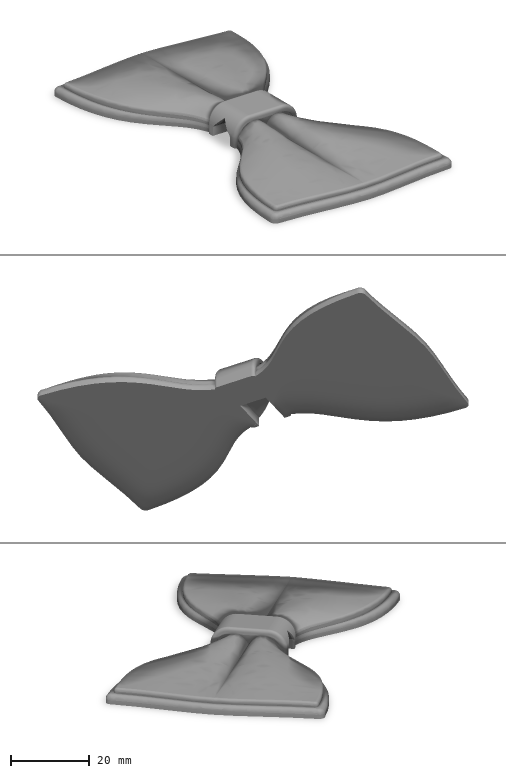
import cadquery as cq
import math

HALF_LENGTH = 50.0
BAND_TOP = 7.9

NECK_HANDLE_X = 18.6
CORNER_HANDLE_X = 14.3
END_MIDDLE_HANDLE_Y = 8.0
END_CORNER_HANDLE_Y = 18.5

BASE_HEIGHT = 2.4
BASE_EDGE_RADIUS = 1.3
BASE_NECK = 8.6
BASE_CORNER = (47.6, 28.5)
BASE_CORNER_RADIUS = 1.6

RIM = 1.9
NECK_RIM = 0.2
CUSHION_NECK = BASE_NECK - NECK_RIM
CUSHION_CORNER = (BASE_CORNER[0] - RIM, BASE_CORNER[1] - RIM)
CUSHION_CORNER_RADIUS = 1.0
CUSHION_EDGE_RADIUS = 0.8
CREASE_HEIGHT = 3.7
LOBE_SKEW = 0.8
LOBE_STATIONS = [
    (0.0, 8.4, 3.0, 2.6),
    (6.0, 9.2, 3.0, 2.7),
    (13.4, 14.0, 3.1, 2.7),
    (19.1, 18.7, 3.6, 2.5),
    (24.2, 21.8, 4.0, 2.2),
    (31.9, 24.7, 4.1, 1.6),
    (37.6, 26.2, 3.9, 1.0),
    (43.4, 26.6, 3.7, 0.3),
    (HALF_LENGTH, 26.6, 3.5, 0.0),
]
LOBE_STEPS = 10
OVERRUN_STEPS = 1
SURFACE_TOLERANCE = 0.02
ON_PLANE = 0.01

BAND_HALF_WIDTH = 5.9
BAND_HALF_DEPTH = 10.0
BAND_ARC_RADIUS = 4.9
BAND_EDGE_RADIUS = 0.9
BAND_THICKNESS = 1.6
BAND_RECESS = 0.4

NOTCH_HALF_WIDTH = 3.7
NOTCH_SHOULDER = 2.6
NOTCH_PEAK = 6.2
KEY_WIDTH = 2.4
KEY_DEPTH = 3.0


def quarter_outline(neck, corner, end_x):
    """Outline of the +X +Y quarter of a bow-shaped sheet."""
    corner_x, corner_y = corner
    flank = [(0, neck), (NECK_HANDLE_X, neck), (CORNER_HANDLE_X, corner_y), corner]
    end = [corner, (corner_x, END_CORNER_HANDLE_Y), (end_x, END_MIDDLE_HANDLE_Y), (end_x, 0)]
    return cq.Workplane("XY").lineTo(0, neck).bezier(flank).bezier(end).close()


def corner_edge(corner):
    """Selector for the upright edge at a wing corner."""
    return cq.selectors.NearestToPointSelector((*corner, BASE_HEIGHT / 2))


def mirror_quarter(quarter):
    """Complete a bow from its +X +Y quarter."""
    half = quarter.union(quarter.mirror("XZ"))
    return half.union(half.mirror("YZ"))


def outer_edges(quarter):
    """Top edges that do not lie on the two symmetry planes."""
    edges = quarter.faces(">Z").edges().vals()
    return [e for e in edges if min(e.BoundingBox().xmax, e.BoundingBox().ymax) > ON_PLANE]


def quarter_prism(neck, corner, end_x, corner_radius, height):
    quarter = quarter_outline(neck, corner, end_x).extrude(height)
    return quarter.edges("|Z").edges(corner_edge(corner)).fillet(corner_radius)


def cushion_prism(height):
    return quarter_prism(
        CUSHION_NECK, CUSHION_CORNER, HALF_LENGTH - RIM, CUSHION_CORNER_RADIUS, height
    )


def make_base():
    quarter = quarter_prism(BASE_NECK, BASE_CORNER, HALF_LENGTH, BASE_CORNER_RADIUS, BASE_HEIGHT)
    quarter = quarter.newObject(outer_edges(quarter)).fillet(BASE_EDGE_RADIUS)
    quarter = quarter.union(cushion_prism(BASE_HEIGHT))
    return mirror_quarter(quarter)


def lobe_height(t, edge_height, rise):
    """Height at fraction t of the way from the crease to the edge."""
    edge_drop = (edge_height - CREASE_HEIGHT) * t**2
    swell = rise * math.sin(math.pi * t**LOBE_SKEW)
    return CREASE_HEIGHT + edge_drop + swell


def lobe_surface():
    fractions = [i / LOBE_STEPS for i in range(LOBE_STEPS + OVERRUN_STEPS + 1)]
    grid = [
        [cq.Vector(x, t * half_width, lobe_height(t, edge, rise)) for t in fractions]
        for x, half_width, edge, rise in LOBE_STATIONS
    ]
    return cq.Face.makeSplineApprox(grid, tol=SURFACE_TOLERANCE, minDeg=3, maxDeg=5)


def make_cushion():
    under_lobe = cq.Solid.extrudeLinear(lobe_surface(), cq.Vector(0, 0, -BAND_TOP))
    quarter = cushion_prism(BAND_TOP - BASE_HEIGHT).translate((0, 0, BASE_HEIGHT))
    quarter = quarter.intersect(cq.Workplane(under_lobe))
    quarter = quarter.newObject(outer_edges(quarter)).fillet(CUSHION_EDGE_RADIUS)
    return mirror_quarter(quarter)


def arch(inset, start_x, length):
    """Arch-shaped bar along X, smaller than the band's outside by the inset."""
    flat = BAND_HALF_DEPTH - BAND_ARC_RADIUS
    spring = BAND_TOP - BAND_ARC_RADIUS
    radius = BAND_ARC_RADIUS - inset
    half_depth = flat + radius
    top = spring + radius
    diagonal = radius * math.sin(math.pi / 4)
    return (
        cq.Workplane("YZ", origin=(start_x, 0, 0))
        .moveTo(-half_depth, 0)
        .lineTo(-half_depth, spring)
        .threePointArc((-flat - diagonal, spring + diagonal), (-flat, top))
        .lineTo(flat, top)
        .threePointArc((flat + diagonal, spring + diagonal), (half_depth, spring))
        .lineTo(half_depth, 0)
        .close()
        .extrude(length)
    )


def make_band_blank():
    blank = arch(0, -BAND_HALF_WIDTH, 2 * BAND_HALF_WIDTH)
    blank = blank.faces("<X or >X").edges("not <Z").fillet(BAND_EDGE_RADIUS)
    for recess_start in (-BAND_HALF_WIDTH, BAND_HALF_WIDTH - BAND_RECESS):
        blank = blank.cut(arch(BAND_THICKNESS, recess_start, BAND_RECESS))
    return blank


def make_notch():
    """House-shaped cutter from the front of the band to the crease."""
    return (
        cq.Workplane("XZ")
        .moveTo(-NOTCH_HALF_WIDTH, 0)
        .lineTo(-NOTCH_HALF_WIDTH, NOTCH_SHOULDER)
        .lineTo(0, NOTCH_PEAK)
        .lineTo(NOTCH_HALF_WIDTH, NOTCH_SHOULDER)
        .lineTo(NOTCH_HALF_WIDTH, 0)
        .close()
        .extrude(BAND_HALF_DEPTH)
    )


def make_key():
    """Block under the cushion that drops into the base behind the notch."""
    return cq.Workplane("XY").box(KEY_WIDTH, KEY_DEPTH, BASE_HEIGHT, centered=(True, False, False))


notch = make_notch()
key = make_key()
base_blank = make_base()
cushion_blank = make_cushion()

base = base_blank.cut(notch).cut(key)
cushion = cushion_blank.cut(notch).union(key)
band = make_band_blank().cut(base_blank).cut(cushion_blank).cut(notch)

result = cq.Compound.makeCompound([base.val(), cushion.val(), band.val()])